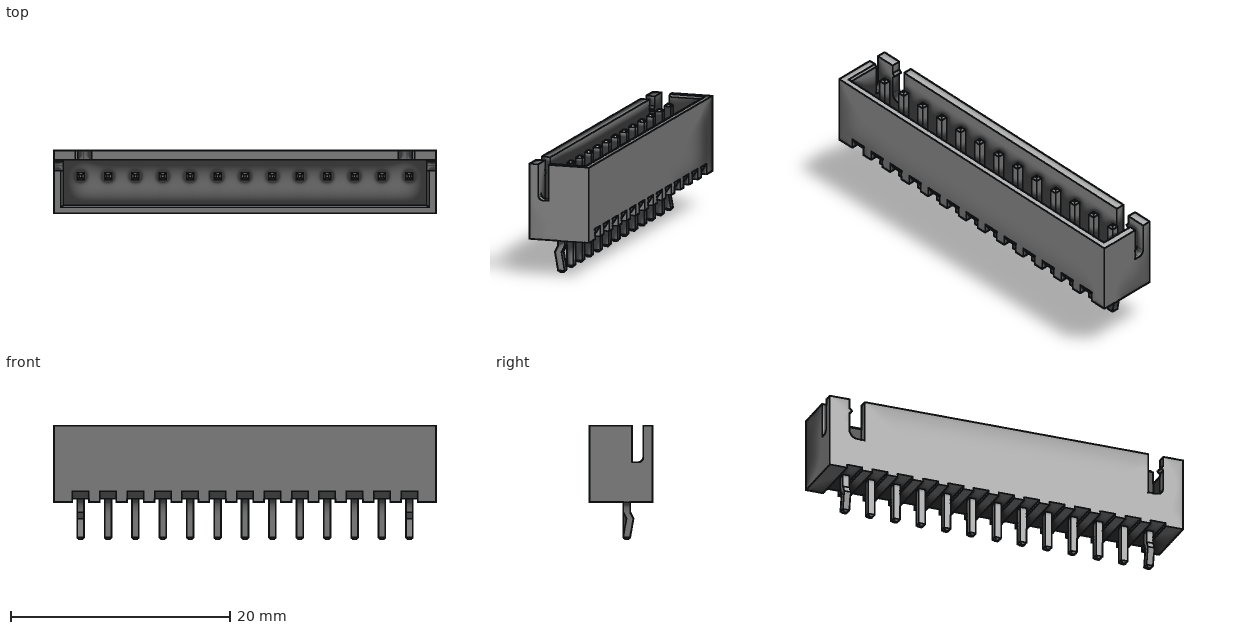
import cadquery as cq

PIN_COUNT = 13
PIN_PITCH = 2.5
PIN_SIZE = 0.64
PIN_TAIL = 3.4
PIN_TOP = 6.5
PIN_TIP_CHAMFER = 0.2

BOW_START_Z = -0.9
BOW_PEAK_Z = -1.5
BOW_END_Z = -PIN_TAIL + PIN_TIP_CHAMFER
BOW_OFFSET = 0.3

END_MARGIN = 2.45
BODY_LENGTH = (PIN_COUNT - 1) * PIN_PITCH + 2 * END_MARGIN
BODY_HEIGHT = 7.0
FRONT_Y = -3.4
BACK_Y = 2.35
BODY_DEPTH = BACK_Y - FRONT_Y
BODY_MID_Y = (FRONT_Y + BACK_Y) / 2

FLOOR_Z = 2.0
FRONT_WALL = 0.75
END_WALL = 0.85
BACK_WALL = 0.85
RIM_CHAMFER = 0.2

END_SLOT_WIDTH = 1.0
END_SLOT_DEPTH = 3.35
END_SLOT_RADIUS = 0.5

TAB_LENGTH = 1.95
BACK_SLOT_WIDTH = 1.5
BACK_SLOT_DEPTH = 3.9
BACK_SLOT_RADIUS = 0.75

RIDGE_HEIGHT = 0.25
RIDGE_PEAK_Z = BODY_HEIGHT - 1.15

GROOVE_WIDTH = 1.5
GROOVE_DEPTH = 0.3
GROOVE_MOUTH_DEPTH = 1.0
GROOVE_SLOPE_LENGTH = 0.43

END_X = BODY_LENGTH / 2
LAST_PIN_X = (PIN_COUNT - 1) * PIN_PITCH / 2
CAVITY_FRONT_Y = FRONT_Y + FRONT_WALL
CAVITY_BACK_Y = BACK_Y - BACK_WALL
CAVITY_END_X = END_X - END_WALL


def box_between(x0, x1, y0, y1, z0, z1):
    return cq.Workplane("XY").box(x1 - x0, y1 - y0, z1 - z0, centered=False).translate((x0, y0, z0))


def on_both_ends(shape):
    """The shape together with its mirror image at the other end of the row."""
    return shape.union(shape.mirror("YZ"))


def pin_xs():
    return [index * PIN_PITCH - LAST_PIN_X for index in range(PIN_COUNT)]


def housing_block():
    block = cq.Workplane("XY").box(BODY_LENGTH, BODY_DEPTH, BODY_HEIGHT, centered=(True, True, False))
    return block.translate((0, BODY_MID_Y, 0))


def cavity():
    space = box_between(-CAVITY_END_X, CAVITY_END_X, CAVITY_FRONT_Y, CAVITY_BACK_Y, FLOOR_Z, BODY_HEIGHT)
    lead_in_x = CAVITY_END_X + RIM_CHAMFER
    lead_in_y = CAVITY_FRONT_Y - RIM_CHAMFER
    half_y = CAVITY_BACK_Y - lead_in_y
    lead_in = (
        cq.Workplane("XY", origin=(0, CAVITY_BACK_Y, BODY_HEIGHT))
        .rect(2 * lead_in_x, 2 * half_y)
        .workplane(offset=-RIM_CHAMFER)
        .rect(2 * CAVITY_END_X, 2 * (half_y - RIM_CHAMFER))
        .loft(ruled=True)
    )
    in_front_of_back_wall = box_between(-END_X, END_X, FRONT_Y, CAVITY_BACK_Y, 0, BODY_HEIGHT)
    return space.union(lead_in.intersect(in_front_of_back_wall))


def end_slot():
    """Slot through the +X end wall, rounded where it meets the corner tab."""
    slot = box_between(
        CAVITY_END_X, END_X,
        CAVITY_BACK_Y - END_SLOT_WIDTH, CAVITY_BACK_Y,
        BODY_HEIGHT - END_SLOT_DEPTH, BODY_HEIGHT,
    )
    return slot.edges("|X and <Z and >Y").fillet(END_SLOT_RADIUS)


def back_slot():
    """Slot through the back wall beside the +X tab, rounded below the tab and narrowed by a ridge."""
    outer_x = END_X - TAB_LENGTH
    slot = box_between(
        outer_x - BACK_SLOT_WIDTH, outer_x,
        CAVITY_BACK_Y, BACK_Y,
        BODY_HEIGHT - BACK_SLOT_DEPTH, BODY_HEIGHT,
    )
    slot = slot.edges("|Y and <Z and >X").fillet(BACK_SLOT_RADIUS)
    ridge = (
        cq.Workplane("XZ", origin=(0, BACK_Y, 0))
        .moveTo(outer_x, RIDGE_PEAK_Z + RIDGE_HEIGHT)
        .lineTo(outer_x - RIDGE_HEIGHT, RIDGE_PEAK_Z)
        .lineTo(outer_x, RIDGE_PEAK_Z - RIDGE_HEIGHT)
        .close()
        .extrude(BACK_WALL)
    )
    return slot.cut(ridge)


def groove(x):
    """Groove along Y under one pin, with a ceiling that rises to the front face."""
    return (
        cq.Workplane("YZ", origin=(x - GROOVE_WIDTH / 2, 0, 0))
        .moveTo(FRONT_Y, 0)
        .lineTo(FRONT_Y, GROOVE_MOUTH_DEPTH)
        .lineTo(FRONT_Y + GROOVE_SLOPE_LENGTH, GROOVE_DEPTH)
        .lineTo(BACK_Y, GROOVE_DEPTH)
        .lineTo(BACK_Y, 0)
        .close()
        .extrude(GROOVE_WIDTH)
    )


def straight_pin(x):
    pin = cq.Workplane("XY").box(PIN_SIZE, PIN_SIZE, PIN_TAIL + PIN_TOP, centered=(True, True, False))
    pin = pin.faces("<Z or >Z").chamfer(PIN_TIP_CHAMFER)
    return pin.translate((x, 0, -PIN_TAIL))


def bowed_pin(x):
    """A straight pin whose tail is replaced by a bowed length."""
    half = PIN_SIZE / 2
    tail_gap = box_between(x - half, x + half, -half, half, BOW_END_Z, BOW_START_Z)
    bow = (
        cq.Workplane("YZ", origin=(x - half, 0, 0))
        .moveTo(-half, BOW_START_Z)
        .lineTo(-half + BOW_OFFSET, BOW_PEAK_Z)
        .lineTo(-half, BOW_END_Z)
        .lineTo(half, BOW_END_Z)
        .lineTo(half + BOW_OFFSET, BOW_PEAK_Z)
        .lineTo(half, BOW_START_Z)
        .close()
        .extrude(PIN_SIZE)
    )
    return straight_pin(x).cut(tail_gap).union(bow)


result = housing_block().cut(cavity()).cut(on_both_ends(end_slot())).cut(on_both_ends(back_slot()))

for pin_x in pin_xs():
    result = result.cut(groove(pin_x))

for pin_x in pin_xs():
    is_end_pin = abs(pin_x) == LAST_PIN_X
    result = result.union(bowed_pin(pin_x) if is_end_pin else straight_pin(pin_x))